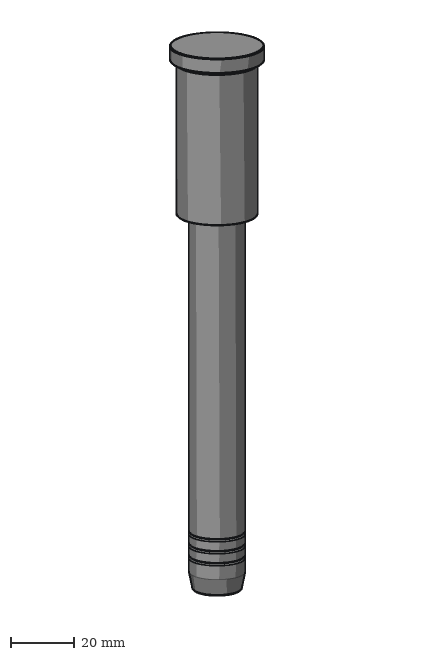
import cadquery as cq

total_length = 180.0
head_radius = 15.03
head_height = 5.0
body_radius = 13.0
body_bottom = 124.0
shank_radius = 9.0

head_chamfer = 0.4
body_chamfer = 0.4
head_relief_height = 1.0
head_relief_depth = 0.4
shank_relief_height = 1.0
shank_relief_depth = 0.5

taper_height = 6.0
tip_radius = 8.0
tip_chamfer = 0.5

groove_count = 3
groove_width = 1.0
groove_depth = 0.5
groove_pitch = 4.0
first_groove_bottom = 10.5


def cylinder(radius, bottom, top):
    """Solid cylinder on the pin axis between two heights."""
    return cq.Workplane("XY").workplane(offset=bottom).circle(radius).extrude(top - bottom)


def ring(outer_radius, depth, bottom, height):
    """Ring that cuts a groove of the given depth into a cylinder."""
    outer = cylinder(outer_radius + depth, bottom, bottom + height)
    return outer.cut(cylinder(outer_radius - depth, bottom, bottom + height))


def vee_ring(bottom):
    """Ring with a V section that cuts one groove into the shank."""
    return (
        cq.Workplane("XZ")
        .moveTo(shank_radius, bottom)
        .lineTo(shank_radius - groove_depth, bottom + groove_width / 2)
        .lineTo(shank_radius, bottom + groove_width)
        .close()
        .revolve(360, (0, 0, 0), (0, 1, 0))
    )


head_bottom = total_length - head_height
head = cylinder(head_radius, head_bottom, total_length).faces("<Z or >Z").chamfer(head_chamfer)
body = cylinder(body_radius, body_bottom, head_bottom).faces("<Z").chamfer(body_chamfer)
head_relief_bottom = head_bottom - head_relief_height
body = body.cut(ring(body_radius, head_relief_depth, head_relief_bottom, head_relief_height))

shank = cylinder(shank_radius, taper_height, body_bottom)
shank_relief_bottom = body_bottom - shank_relief_height
shank = shank.cut(ring(shank_radius, shank_relief_depth, shank_relief_bottom, shank_relief_height))

for index in range(groove_count):
    groove_bottom = first_groove_bottom + index * groove_pitch
    shank = shank.cut(vee_ring(groove_bottom))

tip = (
    cq.Workplane("XZ")
    .moveTo(0, 0)
    .lineTo(tip_radius - tip_chamfer, 0)
    .lineTo(tip_radius, tip_chamfer)
    .lineTo(shank_radius, taper_height)
    .lineTo(0, taper_height)
    .close()
    .revolve(360, (0, 0, 0), (0, 1, 0))
)

result = head.union(body).union(shank).union(tip)
result = result.rotate((0, 0, 0), (0, 0, 1), 180)